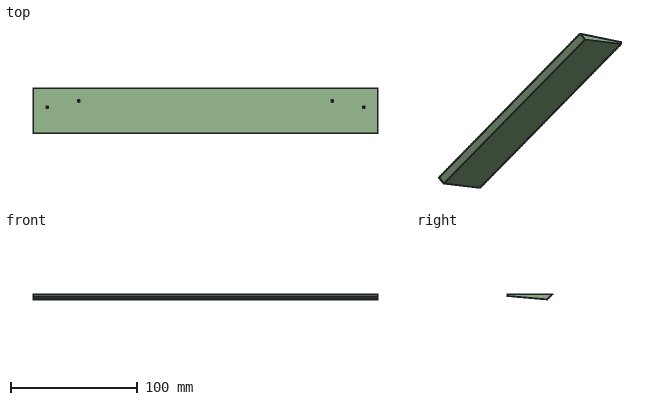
import cadquery as cq

length = 272.0
width = 35.5
thickness = 4.4

front_lip = 1.5
back_bevel = 4.4

hole_diameter = 1.5
hole_depth = 2.2
outer_hole_spacing = 250.0
outer_hole_setback = 15.0
inner_hole_spacing = 200.0
inner_hole_setback = 10.0

back_y = width / 2
front_y = -width / 2


def wedge_strip():
    """Strip with a flat top, a sloped underside and an undercut back edge."""
    section = [
        (front_y, 0),
        (back_y, 0),
        (back_y - back_bevel, -thickness),
        (front_y, -front_lip),
    ]
    return cq.Workplane("YZ").polyline(section).close().extrude(length / 2, both=True)


def hole_pair(spacing, setback):
    """Two hole cutters, mirrored about X = 0, set in from the back edge."""
    y = back_y - setback
    centers = [(-spacing / 2, y), (spacing / 2, y)]
    return cq.Workplane("XY").pushPoints(centers).circle(hole_diameter / 2).extrude(-hole_depth)


result = wedge_strip()
result = result.cut(hole_pair(outer_hole_spacing, outer_hole_setback))
result = result.cut(hole_pair(inner_hole_spacing, inner_hole_setback))